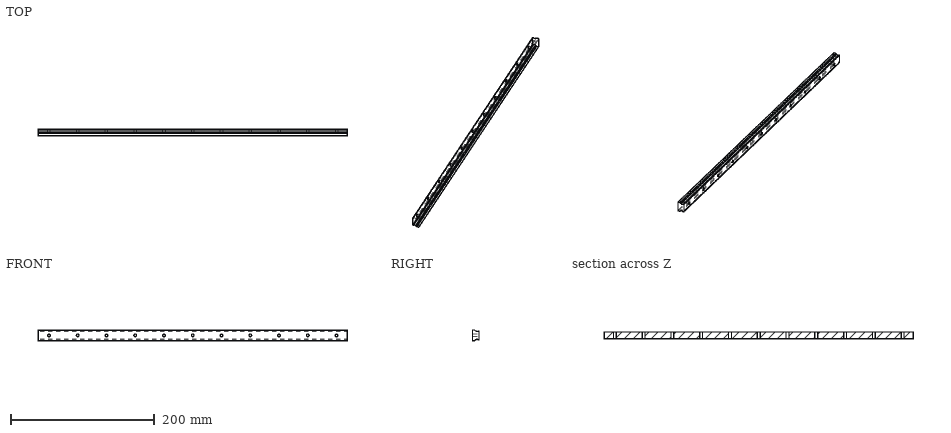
import cadquery as cq

LENGTH = 430.0
HEIGHT = 9.5
BASE_WIDTH = 15.0

BASE_CHAMFER = 0.5
FLANGE_HEIGHT = 3.1

HEAD_WIDTH = 12.8
HEAD_CHAMFER = 0.3
SHOULDER_HEIGHT = (BASE_WIDTH - HEAD_WIDTH) / 2

GROOVE_CENTER_HEIGHT = 6.75
GROOVE_WIDTH = 3.0
GROOVE_DEPTH = 1.0
GROOVE_RADIUS = 1.65

HOLE_DIAMETER = 3.5
HOLE_PITCH = 40.0
HOLE_COUNT = 11


def rail_half():
    """Half of the rail on the +Z side of its symmetry plane, base face at y = 0."""
    base = BASE_WIDTH / 2
    head = HEAD_WIDTH / 2
    groove_start = GROOVE_CENTER_HEIGHT - GROOVE_WIDTH / 2
    groove_end = GROOVE_CENTER_HEIGHT + GROOVE_WIDTH / 2
    outline = (
        cq.Workplane("YZ")
        .lineTo(0, base - BASE_CHAMFER)
        .lineTo(BASE_CHAMFER, base)
        .lineTo(FLANGE_HEIGHT, base)
        .lineTo(FLANGE_HEIGHT + SHOULDER_HEIGHT, head)
        .lineTo(groove_start, head)
        .radiusArc((GROOVE_CENTER_HEIGHT, head - GROOVE_DEPTH), -GROOVE_RADIUS)
        .radiusArc((groove_end, head), -GROOVE_RADIUS)
        .lineTo(HEIGHT - HEAD_CHAMFER, head)
        .lineTo(HEIGHT, head - HEAD_CHAMFER)
        .lineTo(HEIGHT, 0)
        .close()
    )
    return outline.extrude(LENGTH / 2, both=True)


def rail_body():
    half = rail_half()
    return half.union(half.mirror("XY")).clean()


def drill_mounting_holes(body):
    return (
        body.faces(">Y")
        .workplane(centerOption="CenterOfBoundBox")
        .rarray(HOLE_PITCH, 1, HOLE_COUNT, 1)
        .hole(HOLE_DIAMETER)
    )


result = drill_mounting_holes(rail_body())